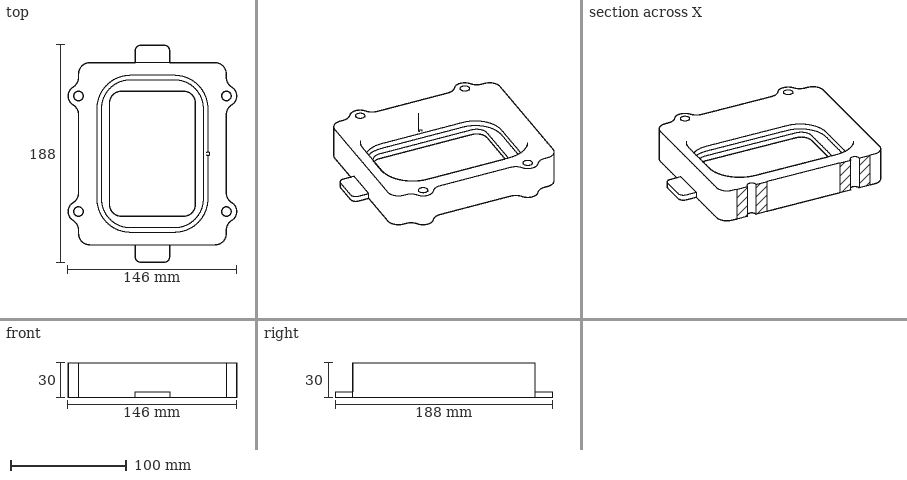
import cadquery as cq
import math

body_x = 128.0
body_y = 158.0
body_z = 30.0
body_corner_radius = 10.0

ear_radius = 9.0
ear_blend_radius = 10.0
ear_hole_diameter = 8.0
ear_offset_x = body_x / 2
ear_offset_y = 50.0

overall_y = 188.0
tab_x = 30.0
tab_z = 5.0
tab_corner_radius = 5.0

upper_x = 96.0
upper_y = 136.0
upper_corner_radius = 29.0
ledge_z = 10.0
rim_rounding = 3.0
ledge_fillet = 2.0
ledge_width = 4.0
flange_z = tab_z
opening_x = 74.0
opening_y = 108.0
opening_corner_radius = 10.0

groove_diameter = 3.0
groove_edge_rounding = 1.0

selection_margin = 0.2


def rounded_block(size_x, size_y, corner_radius, bottom, top):
    """Block centred on Z with rounded vertical edges, from height bottom to height top."""
    block = cq.Workplane("XY").workplane(offset=bottom).rect(size_x, size_y).extrude(top - bottom)
    return block.edges("|Z").fillet(corner_radius)


def ear(side_x, side_y):
    """Round ear with concave blends that run tangent into the side of the block."""
    centre_x = side_x * ear_offset_x
    centre_y = side_y * ear_offset_y
    centre_distance = ear_radius + ear_blend_radius
    blend_offset_y = math.sqrt(centre_distance**2 - ear_blend_radius**2)
    touch_x = ear_blend_radius * ear_radius / centre_distance
    touch_y = blend_offset_y * ear_radius / centre_distance
    half_angle = math.asin(blend_offset_y / centre_distance) / 2
    middle_x = ear_blend_radius * (1 - math.cos(half_angle))
    middle_y = blend_offset_y - ear_blend_radius * math.sin(half_angle)

    def point(outward, along):
        return (centre_x + side_x * outward, centre_y + along)

    return (
        cq.Workplane("XY")
        .moveTo(*point(0, -blend_offset_y))
        .threePointArc(point(middle_x, -middle_y), point(touch_x, -touch_y))
        .threePointArc(point(ear_radius, 0), point(touch_x, touch_y))
        .threePointArc(point(middle_x, middle_y), point(0, blend_offset_y))
        .lineTo(*point(-ear_radius, blend_offset_y))
        .lineTo(*point(-ear_radius, -blend_offset_y))
        .close()
        .extrude(body_z)
    )


frame = rounded_block(body_x, body_y, body_corner_radius, 0, body_z)
for side_x in (-1, 1):
    for side_y in (-1, 1):
        frame = frame.union(ear(side_x, side_y))

ear_holes = (
    cq.Workplane("XY")
    .rect(2 * ear_offset_x, 2 * ear_offset_y, forConstruction=True)
    .vertices()
    .circle(ear_hole_diameter / 2)
    .extrude(body_z)
)
frame = frame.cut(ear_holes)

frame = frame.union(rounded_block(tab_x, overall_y, tab_corner_radius, 0, tab_z))

upper_pocket = rounded_block(upper_x, upper_y, upper_corner_radius, ledge_z, body_z)
upper_pocket = upper_pocket.faces("<Z").edges().fillet(ledge_fillet)
frame = frame.cut(upper_pocket)
rim = cq.selectors.BoxSelector(
    (-upper_x / 2 - selection_margin, -upper_y / 2 - selection_margin, body_z - selection_margin),
    (upper_x / 2 + selection_margin, upper_y / 2 + selection_margin, body_z + selection_margin),
    boundingbox=True,
)
frame = frame.edges(rim).fillet(rim_rounding)

groove = (
    cq.Workplane("XY", origin=(upper_x / 2, 0, ledge_z))
    .circle(groove_diameter / 2)
    .extrude(body_z - ledge_z)
)
frame = frame.cut(groove)
mouth = cq.selectors.BoxSelector(
    (upper_x / 2 - groove_diameter, -groove_diameter, ledge_z + selection_margin),
    (upper_x / 2 + groove_diameter / 2 - selection_margin, groove_diameter, body_z),
)
frame = frame.edges(mouth).fillet(groove_edge_rounding)

lower_pocket = rounded_block(
    upper_x - 2 * ledge_width,
    upper_y - 2 * ledge_width,
    upper_corner_radius - ledge_width,
    flange_z,
    body_z,
)
opening = rounded_block(opening_x, opening_y, opening_corner_radius, 0, body_z)
result = frame.cut(lower_pocket).cut(opening)